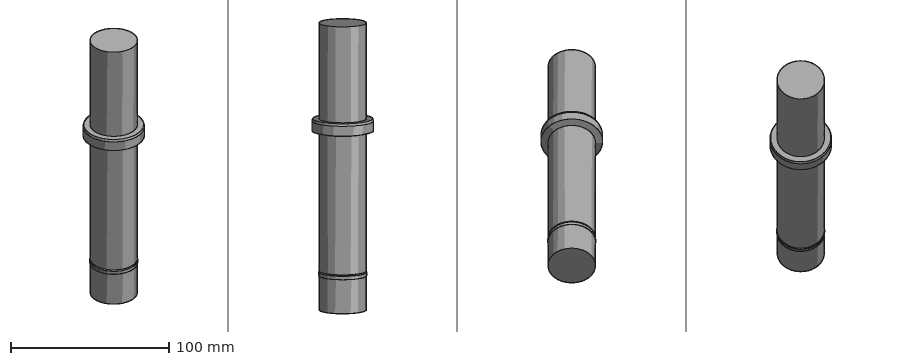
import cadquery as cq

rod_diameter = 30.0
lip_diameter = 30.4
groove_diameter = 23.4
collar_diameter = 39.0
collar_top_diameter = 37.9

lip_bottom = 21.9
groove_bottom = 24.1
groove_top = 25.0
collar_bottom = 113.7
collar_rim_bottom = 114.8
collar_rim_top = 121.0
collar_top = 122.5
total_length = 184.0

rod_radius = rod_diameter / 2
lip_radius = lip_diameter / 2
groove_radius = groove_diameter / 2
collar_radius = collar_diameter / 2
collar_top_radius = collar_top_diameter / 2

half_section = [
    (0, 0),
    (rod_radius, 0),
    (rod_radius, lip_bottom),
    (lip_radius, lip_bottom),
    (lip_radius, groove_bottom),
    (groove_radius, groove_bottom),
    (groove_radius, groove_top),
    (rod_radius, groove_top),
    (rod_radius, collar_bottom),
    (collar_radius, collar_rim_bottom),
    (collar_radius, collar_rim_top),
    (collar_top_radius, collar_top),
    (rod_radius, collar_top),
    (rod_radius, total_length),
    (0, total_length),
]

result = cq.Workplane("XZ").polyline(half_section).close().revolve(360, (0, 0), (0, 1))